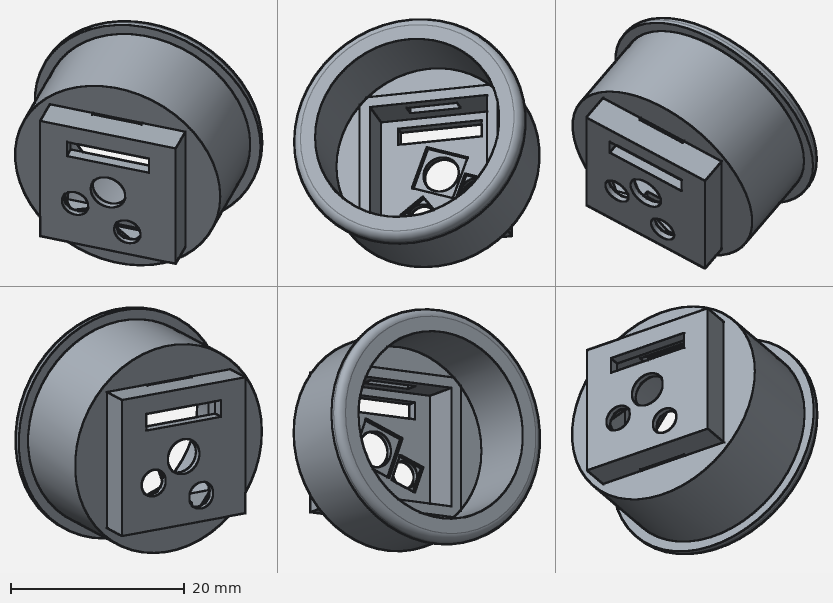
import cadquery as cq

total_depth = 15.58

flange_diameter = 27.5
flange_thickness = 1.5
flange_round = 1.0
barrel_diameter = 25.0
barrel_length = 10.65
bore_diameter = 22.0

insert_side = 16.5
insert_depth = 6.23
cavity_side = 14.0
front_wall = 1.35

hole_depth = 0.8
stem_hole = (4.2, 0.0, 0.0, 5.2, 20.0)
pin_holes = [
    (3.2, -4.0, -2.54, 3.3, 20.0),
    (3.2, 2.35, -5.08, 3.3, 53.0),
]

slot_length = 10.0
slot_height = 2.0
slot_centre_z = 5.0

clip_window_width = 6.0
clip_window_start = 3.17
clip_window_end = 4.8
tongue_thickness = 0.25

flange_start = total_depth - flange_thickness
barrel_front = flange_start - barrel_length


def disc(diameter, start, end, x=0.0, z=0.0):
    """Cylinder along Y between two depths."""
    plane = cq.Workplane("XZ", origin=(x, start, z))
    return plane.circle(diameter / 2).extrude(start - end)


def block(width, height, start, end, x=0.0, z=0.0, tilt=0.0):
    """Rectangular block along Y between two depths, tilted about its own axis."""
    plane = cq.Workplane("XZ", origin=(x, start, z))
    return plane.transformed(rotate=(0, 0, tilt)).rect(width, height).extrude(start - end)


def make_housing():
    """Flanged barrel with a square opening in its front wall and a round bore behind it."""
    flange = disc(flange_diameter, flange_start, total_depth)
    flange = flange.faces(">Y").edges().fillet(flange_round)
    body = disc(barrel_diameter, barrel_front, flange_start).union(flange)
    body = body.cut(disc(bore_diameter, insert_depth, total_depth))
    body = body.cut(block(insert_side, insert_side, barrel_front, insert_depth))

    tongue_centre = (insert_side - tongue_thickness) / 2
    for side in (1, -1):
        body = body.union(
            block(
                clip_window_width,
                tongue_thickness,
                clip_window_start,
                clip_window_end,
                z=side * tongue_centre,
            )
        )
    return body


def make_insert():
    """Square cup, open at the back, that fills the housing's square opening."""
    body = block(insert_side, insert_side, 0, insert_depth)
    body = body.cut(block(cavity_side, cavity_side, front_wall, insert_depth))

    body = body.cut(block(slot_length, slot_height, 0, front_wall, z=slot_centre_z))
    for diameter, x, z, relief_side, tilt in [stem_hole, *pin_holes]:
        body = body.cut(disc(diameter, 0, hole_depth, x, z))
        body = body.cut(block(relief_side, relief_side, hole_depth, front_wall, x, z, tilt))

    return body.cut(block(clip_window_width, insert_side, clip_window_start, clip_window_end))


housing = make_housing()
insert = make_insert()

result = cq.Compound.makeCompound([housing.val(), insert.val()])